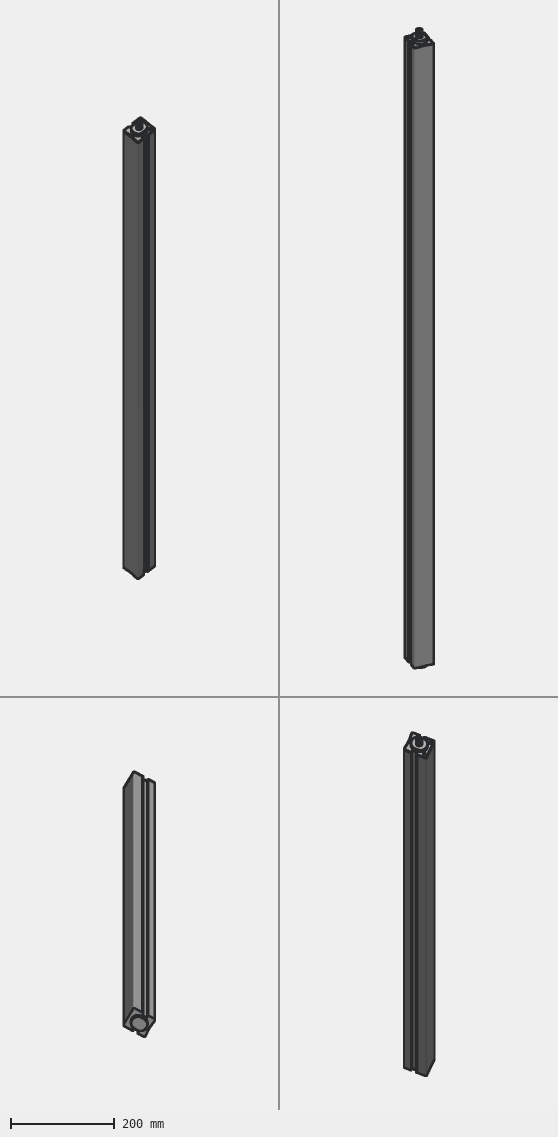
import cadquery as cq
import math

WIDTH = 42.0
DEPTH = 48.0
HEIGHT = 1412.02

FOOT_HEIGHT = 7.5
COLLAR_HEIGHT = 7.5
PLUG_HEIGHT = 15.0
BODY_TOP = HEIGHT - PLUG_HEIGHT - COLLAR_HEIGHT
BODY_LENGTH = BODY_TOP - FOOT_HEIGHT
CORNER_RADIUS = 2.75
TOP_CHAMFER = 1.5

WINDOW_WIDTH = 28.0
WINDOW_RADIUS = 80.0

SLOT_FRONT = -8.0
SLOT_BACK = 2.0
SLOT_DEPTH = 5.0
SHELF_BACK = 5.5
SHELF_DEPTH = 1.0
SHELF_END_MARGIN = 7.0

OVAL_WIDTH = 28.0
OVAL_LENGTH = 33.5
OVAL_CHAMFER = 1.0

SCREW_X = 14.0
SCREW_Y = 17.0
SCREW_HEAD_DIAMETER = 5.5
SCREW_HEAD_DEPTH = 3.0
SCREW_HOLE_DIAMETER = 3.05
SCREW_HOLE_DEPTH = 10.0

PLUG_DIAMETER = 12.0
NECK_DIAMETER = 10.5
NECK_BOTTOM = 5.0
NECK_TOP = 9.0
SOCKET_DIAMETER = 8.5
SOCKET_DEPTH = 9.0
PIN_DIAMETER = 1.0
PIN_CIRCLE_DIAMETER = 5.5
PIN_COUNT = 7
PIN_LENGTH = 7.0


def make_body():
    """Extruded profile with rounded corners and a bevelled top rim."""
    body = cq.Workplane("XY").workplane(offset=FOOT_HEIGHT).rect(WIDTH, DEPTH).extrude(BODY_LENGTH)
    body = body.edges("|Z").fillet(CORNER_RADIUS)
    return body.cut(make_window()).faces(">Z").chamfer(TOP_CHAMFER)


def make_window():
    """Shallow cylinder segment removed from the front face."""
    half_width = WINDOW_WIDTH / 2
    axis_y = -DEPTH / 2 - math.sqrt(WINDOW_RADIUS**2 - half_width**2)
    return (
        cq.Workplane("XY")
        .workplane(offset=FOOT_HEIGHT)
        .moveTo(-half_width, -DEPTH / 2)
        .threePointArc((0, axis_y + WINDOW_RADIUS), (half_width, -DEPTH / 2))
        .close()
        .extrude(BODY_LENGTH)
    )


def side_groove(side, front, back, depth, end_margin):
    """Straight groove in one side, stopping end_margin short of both ends; side is -1 for -X, +1 for +X."""
    return (
        cq.Workplane("XY")
        .workplane(offset=FOOT_HEIGHT + end_margin)
        .center(side * WIDTH / 2, (front + back) / 2)
        .rect(2 * depth, back - front)
        .extrude(BODY_LENGTH - 2 * end_margin)
    )


def make_oval(bottom, height):
    """Upright oval block with its long axis along Y."""
    return cq.Workplane("XY").workplane(offset=bottom).slot2D(OVAL_LENGTH, OVAL_WIDTH, 90).extrude(height)


def cylinder(diameter, bottom, height):
    """Upright cylinder on the Z axis."""
    return cq.Workplane("XY").workplane(offset=bottom).circle(diameter / 2).extrude(height)


def make_plug():
    """Connector barrel with a necked ring, an open socket and contact pins."""
    base = BODY_TOP + COLLAR_HEIGHT
    neck_height = NECK_TOP - NECK_BOTTOM
    plug = cylinder(PLUG_DIAMETER, base, PLUG_HEIGHT)
    ring = cylinder(PLUG_DIAMETER, base + NECK_BOTTOM, neck_height)
    plug = plug.cut(ring.cut(cylinder(NECK_DIAMETER, base + NECK_BOTTOM, neck_height)))
    socket_floor = HEIGHT - SOCKET_DEPTH
    plug = plug.cut(cylinder(SOCKET_DIAMETER, socket_floor, SOCKET_DEPTH))
    pins = (
        cq.Workplane("XY")
        .workplane(offset=socket_floor)
        .polarArray(PIN_CIRCLE_DIAMETER / 2, 0, 360, PIN_COUNT)
        .circle(PIN_DIAMETER / 2)
        .extrude(PIN_LENGTH)
    )
    return plug.union(pins).union(cylinder(PIN_DIAMETER, socket_floor, PIN_LENGTH))


def cut_screw_holes(body):
    """One counterbored blind hole in each back corner of the top face."""
    return (
        body.faces(">Z")
        .workplane(origin=(0, 0, BODY_TOP))
        .pushPoints([(-SCREW_X, SCREW_Y), (SCREW_X, SCREW_Y)])
        .cboreHole(SCREW_HOLE_DIAMETER, SCREW_HEAD_DIAMETER, SCREW_HEAD_DEPTH, SCREW_HOLE_DEPTH)
    )


result = cut_screw_holes(make_body())
for side in (-1, 1):
    result = result.cut(side_groove(side, SLOT_FRONT, SLOT_BACK, SLOT_DEPTH, 0))
    result = result.cut(side_groove(side, SLOT_BACK, SHELF_BACK, SHELF_DEPTH, SHELF_END_MARGIN))
foot = make_oval(0, FOOT_HEIGHT).faces("<Z").chamfer(OVAL_CHAMFER)
collar = make_oval(BODY_TOP, COLLAR_HEIGHT).faces(">Z").chamfer(OVAL_CHAMFER)
result = result.union(foot).union(collar).union(make_plug())